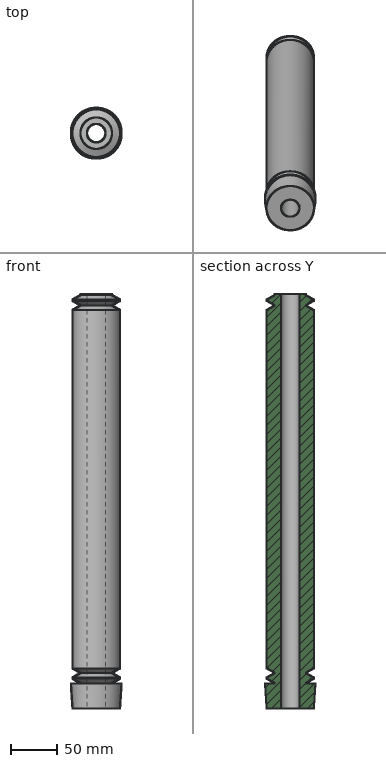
import cadquery as cq

total_height = 450.5
bore_diameter = 20.0

body_diameter = 52.0
neck_diameter = 34.0
cone_height = 5.0
disc_rim_height = 1.5
collar_height = 1.5

cap_diameter = 55.5
cap_foot_diameter = 52.0
cap_height = 27.5

body_radius = body_diameter / 2
neck_radius = neck_diameter / 2
disc_height = 2 * cone_height + disc_rim_height
lower_neck = cap_height + disc_height
upper_disc_top = total_height - collar_height
upper_neck = upper_disc_top - disc_height


def disc_profile(bottom):
    """Half profile of a disc: cone out, narrow cylindrical rim, cone back in."""
    rim_bottom = bottom + cone_height
    rim_top = rim_bottom + disc_rim_height
    return [
        (neck_radius, bottom),
        (body_radius, rim_bottom),
        (body_radius, rim_top),
        (neck_radius, rim_top + cone_height),
    ]


cap_points = [
    (0, 0),
    (cap_foot_diameter / 2, 0),
    (cap_diameter / 2, cap_height),
]
body_points = [
    (body_radius, lower_neck + cone_height),
    (body_radius, upper_neck - cone_height),
]
collar_points = [
    (neck_radius, total_height),
    (0, total_height),
]
profile = (
    cap_points
    + disc_profile(cap_height)
    + body_points
    + disc_profile(upper_neck)
    + collar_points
)
solid_tube = cq.Workplane("XZ").polyline(profile).close().revolve(360, (0, 0), (0, 1))

bore = cq.Workplane("XY").circle(bore_diameter / 2).extrude(total_height)

result = solid_tube.cut(bore)